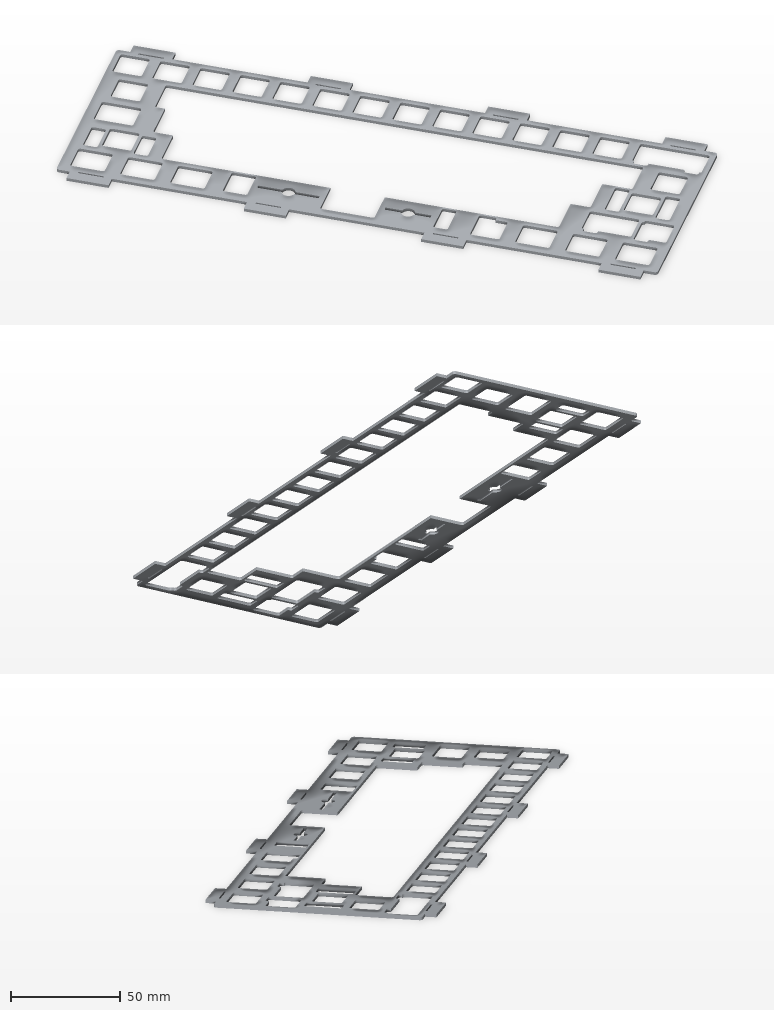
import cadquery as cq

length = 286.5
thickness = 1.5
full_width = 108.3
body_width = 97.7
outer_radius = 1.5

row_units = 15
side_margin = 0.32
unit = (length - 2 * side_margin) / row_units
row_shift = 0.83

switch_size = 14.0
size_choice = 1 / 8
corner_radius = 1.0

stabilizer_width = 7.0
stabilizer_reach = 12.0
stabilizer_depth = 9.0
stabilizer_rise = 5.7
flipped_rise = 9.0
flipped_depth = 6.3

short_space_centre = 6 + 7 / 8
long_space_centre = 7.5
short_space_reach = 50.0
long_space_reach = 57.3
key_beside_space = 10 + 5 / 8

opening_lift = 0.35
opening_back = 28.5
opening_inset = 0.5

tab_length = 20.0
tab_pitch = 84.5
tab_count = 4
slit_length = 12.0
slit_width = 1.0
slit_offset = 48.5

round_slots = [(-36.5, 29.2), (20.5, 21.8)]
round_slot_y = -35.8
round_slot_width = 1.7
round_slot_diameter = 6.3


def key_x(position):
    """X of a point given in key units from the left end of the rows."""
    return (position - row_units / 2) * unit


def row_y(row):
    """Y of the centre line of a row; row 1 is at the back, row 5 at the front."""
    return (3 - row) * unit + row_shift


def block(left, right, bottom, top):
    """Box through the plate thickness, given by its edges in plan."""
    return (
        cq.Workplane("XY")
        .center((left + right) / 2, (bottom + top) / 2)
        .rect(right - left, top - bottom)
        .extrude(thickness)
    )


def rounded_block(left, right, bottom, top):
    return block(left, right, bottom, top).edges("|Z").fillet(corner_radius)


def switch_cutout(row, first, last):
    """Switch hole stretched so that the switch can sit anywhere from first to last."""
    half = switch_size / 2
    y = row_y(row)
    return rounded_block(key_x(first) - half, key_x(last) + half, y - half, y + half)


def stabilizer_slot(row, first_x, last_x, depth, rise):
    """Slot reaching depth in front of the row centre line and rise behind it."""
    half = stabilizer_width / 2
    y = row_y(row)
    return rounded_block(first_x - half, last_x + half, y - depth, y + rise)


def stabilizer_pair(row, centre, depth, rise):
    cutters = []
    for side in (-1, 1):
        x = key_x(centre) + side * stabilizer_reach
        cutters.append(stabilizer_slot(row, x, x, depth, rise))
    return cutters


def switch_cutouts():
    """Holes for all keys outside the central opening, row by row."""
    cutters = [switch_cutout(1, key + 0.5, key + 0.5) for key in range(13)]
    cutters.append(switch_cutout(1, 13.5, 14.5))
    cutters.append(switch_cutout(2, 0.75, 0.75))
    cutters.append(switch_cutout(2, 14.25, 14.25))
    cutters.append(switch_cutout(3, 0.625, 0.875))
    cutters.append(switch_cutout(3, 13.875, 13.875))
    cutters.append(switch_cutout(4, 1.125, 1.125))
    cutters.append(switch_cutout(4, 13.125, 13.625))
    cutters.append(switch_cutout(4, 14.5, 14.5))
    cutters.append(switch_cutout(5, key_beside_space, key_beside_space))
    for first in (0.625, 1.875, 3.125, 11.75, 13, 14.25):
        cutters.append(switch_cutout(5, first, first + size_choice))
    return cutters


def stabilizer_cutouts():
    cutters = stabilizer_pair(1, 14, stabilizer_depth, stabilizer_rise)
    cutters += stabilizer_pair(3, 13.875, stabilizer_depth, flipped_rise)
    cutters += stabilizer_pair(4, 1.125, stabilizer_depth, stabilizer_rise)
    cutters += stabilizer_pair(4, 13.625, stabilizer_depth, stabilizer_rise)
    return cutters


def space_stabilizer_cutouts():
    """Outer slots for both space bars; the rightmost one is flush with the key beside it."""
    short_x = key_x(short_space_centre)
    long_x = key_x(long_space_centre)
    short_right = short_x + short_space_reach
    flush_x = key_x(key_beside_space) + (stabilizer_width - switch_size) / 2
    return [
        stabilizer_slot(5, first_x, last_x, flipped_depth, flipped_rise)
        for first_x, last_x in (
            (short_x - short_space_reach, long_x - long_space_reach),
            (short_right, short_right),
            (flush_x, long_x + long_space_reach),
        )
    ]


def letter_opening():
    """Stepped opening over the letter rows, running down into the space bar cutout."""
    half = switch_size / 2
    opening = rounded_block(
        key_x(short_space_centre) - half,
        key_x(long_space_centre) + half,
        row_y(5) - half,
        opening_back,
    )
    for row, left, right in ((2, 1.5, 13.5), (3, 1.75, 12.75), (4, 2.25, 12.25)):
        step = rounded_block(
            key_x(left) + opening_inset,
            key_x(right) - opening_inset,
            row_y(row + 0.5) + opening_lift,
            opening_back,
        )
        opening = opening.union(step)
    return opening


def tab_centres():
    return [(index - (tab_count - 1) / 2) * tab_pitch for index in range(tab_count)]


def plate():
    """Solid plate with round corners and a tab pair at each tab position."""
    body = block(-length / 2, length / 2, -body_width / 2, body_width / 2)
    body = body.edges("|Z").fillet(outer_radius)
    for x in tab_centres():
        tabs = block(x - tab_length / 2, x + tab_length / 2, -full_width / 2, full_width / 2)
        body = body.union(tabs)
    return body


def tab_slits():
    cutters = []
    for x in tab_centres():
        for y in (-slit_offset, slit_offset):
            slit = block(
                x - slit_length / 2,
                x + slit_length / 2,
                y - slit_width / 2,
                y + slit_width / 2,
            )
            cutters.append(slit)
    return cutters


def round_slot(x, slot_length):
    """Narrow slot with a round hole at its middle."""
    half = slot_length / 2
    slot = block(
        x - half,
        x + half,
        round_slot_y - round_slot_width / 2,
        round_slot_y + round_slot_width / 2,
    )
    hole = (
        cq.Workplane("XY")
        .center(x, round_slot_y)
        .circle(round_slot_diameter / 2)
        .extrude(thickness)
    )
    return slot.union(hole)


result = plate().cut(letter_opening())
cutters = switch_cutouts() + stabilizer_cutouts() + space_stabilizer_cutouts() + tab_slits()
for cutter in cutters:
    result = result.cut(cutter)
for slot_x, slot_length in round_slots:
    result = result.cut(round_slot(slot_x, slot_length))